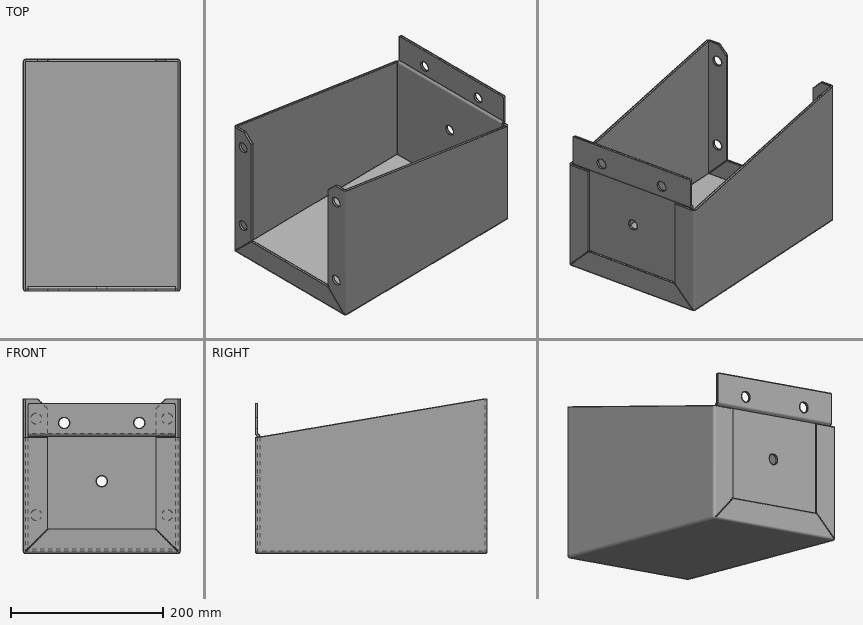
import cadquery as cq
import math

width = 206.5
length = 304.8
rear_height = 203.3
front_height = 152.7

sheet = 3.0
bend_radius = 3.5
flange_width = 32.0
rear_chamfer = 13.0
miter_gap = 0.5

hole_diameter = 14.3
rear_hole_inset = 17.0
rear_hole_heights = (50.5, 177.5)

plate_width = 193.2
plate_bottom = 6.0
plate_top = 197.2
step_start = 153.5
plate_corner_radius = 2.0
plate_hole_spacing = 98.8
plate_upper_hole_height = 171.5
plate_center_hole_height = 95.0

opening_width = width - 2 * flange_width


def box_between(x_size, y_start, y_end, z_start, z_end):
    """Box centred on X, with given Y and Z limits."""
    return (
        cq.Workplane("XY")
        .box(x_size, y_end - y_start, z_end - z_start, centered=(True, False, False))
        .translate((0, y_start, z_start))
    )


def drill_y(x, z, y_start, depth):
    """Round cutter running along +Y."""
    cutter = cq.Solid.makeCylinder(hole_diameter / 2, depth, cq.Vector(x, y_start, z), cq.Vector(0, 1, 0))
    return cq.Workplane(obj=cutter)


def miter_slot(side, y_start):
    """Slit through one end wall along the 45 degree joint of a side flange and the bottom flange."""
    run = flange_width - bend_radius
    middle = (flange_width + bend_radius) / 2
    return (
        cq.Workplane("XY")
        .box(run * math.sqrt(2), sheet, miter_gap)
        .rotate((0, 0, 0), (0, 1, 0), side * 45)
        .translate((side * (width / 2 - middle), y_start + sheet / 2, middle))
    )


def make_shell():
    """Open-topped box with rounded outer bends and sloping side walls."""
    outer = (
        box_between(width, 0, length, 0, rear_height)
        .edges("|Z").fillet(bend_radius)
        .faces("<Z").edges().fillet(bend_radius)
    )
    inner = box_between(width - 2 * sheet, sheet, length - sheet, sheet, rear_height)
    above_slope = (
        cq.Workplane("YZ")
        .moveTo(0, rear_height)
        .lineTo(0, front_height)
        .lineTo(bend_radius, front_height)
        .lineTo(length - bend_radius, rear_height)
        .close()
        .extrude(width / 2, both=True)
    )
    return outer.cut(inner).cut(above_slope)


def rear_opening():
    """Gap between the rear flanges, widened by chamfers at the top."""
    half_opening = opening_width / 2
    chamfer_start = rear_height - rear_chamfer
    return (
        cq.Workplane("XZ", origin=(0, length, 0))
        .moveTo(-half_opening, flange_width)
        .lineTo(half_opening, flange_width)
        .lineTo(half_opening, chamfer_start)
        .lineTo(half_opening + rear_chamfer, rear_height)
        .lineTo(-half_opening - rear_chamfer, rear_height)
        .lineTo(-half_opening, chamfer_start)
        .close()
        .extrude(sheet)
    )


def make_tray():
    """Floor, side walls and the inward flanges at both ends."""
    rear_wall_start = length - sheet
    tray = make_shell()
    tray = tray.cut(box_between(opening_width, 0, sheet, flange_width, rear_height))
    tray = tray.cut(rear_opening())
    for side in (-1, 1):
        for wall_start in (0, rear_wall_start):
            tray = tray.cut(miter_slot(side, wall_start))
        for height in rear_hole_heights:
            hole_x = side * (width / 2 - rear_hole_inset)
            tray = tray.cut(drill_y(hole_x, height, rear_wall_start, sheet))
    return tray


def make_front_plate():
    """Plate with a 45 degree step that brings its top strip flush with the tray front."""
    bend_shift = sheet * math.tan(math.radians(22.5))
    step_end = step_start + sheet
    plate = (
        cq.Workplane("YZ")
        .moveTo(sheet, plate_bottom)
        .lineTo(sheet, step_start)
        .lineTo(0, step_end)
        .lineTo(0, plate_top)
        .lineTo(sheet, plate_top)
        .lineTo(sheet, step_end + bend_shift)
        .lineTo(2 * sheet, step_start + bend_shift)
        .lineTo(2 * sheet, plate_bottom)
        .close()
        .extrude(plate_width / 2, both=True)
        .faces(">Z").edges("|Y").fillet(plate_corner_radius)
    )
    outer_bends = ((0, step_end), (2 * sheet, step_start + bend_shift))
    for y, z in outer_bends:
        plate = plate.edges(cq.selectors.NearestToPointSelector((0, y, z))).fillet(bend_radius)
    for side in (-1, 1):
        plate = plate.cut(drill_y(side * plate_hole_spacing / 2, plate_upper_hole_height, 0, sheet))
    return plate.cut(drill_y(0, plate_center_hole_height, sheet, sheet))


tray = make_tray()
front_plate = make_front_plate()

result = cq.Compound.makeCompound([tray.solids().val(), front_plate.solids().val()])